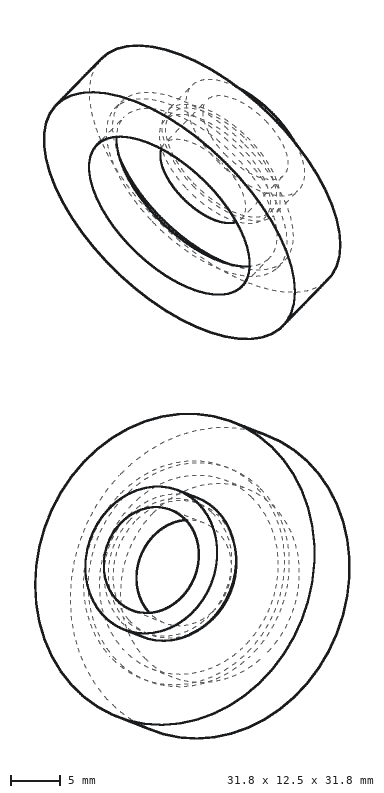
import cadquery as cq

flange_diameter = 31.75
flange_thickness = 7.5
neck_diameter = 14.03
neck_length = 1.02
boss_diameter = 15.0
overall_length = 12.5
boss_length = overall_length - flange_thickness - neck_length
bore_diameter = 10.8
recess_diameter = 20.32
recess_wall_length = 4.5
groove_width = neck_length
groove_depth = 1.27
groove_diameter = recess_diameter + 2 * groove_depth


def cylinder_along_y(diameter, start, length):
    """Solid cylinder on the Y axis, running towards +Y from the start position."""
    plane = cq.Plane(origin=(0, start, 0), xDir=(1, 0, 0), normal=(0, 1, 0))
    return cq.Workplane(plane).circle(diameter / 2).extrude(length)


flange = cylinder_along_y(flange_diameter, 0, flange_thickness)
neck = cylinder_along_y(neck_diameter, flange_thickness, neck_length)
boss = cylinder_along_y(boss_diameter, flange_thickness + neck_length, boss_length)
body = flange.union(neck).union(boss)

bore = cylinder_along_y(bore_diameter, 0, overall_length)
recess = cylinder_along_y(recess_diameter, 0, recess_wall_length)
groove = cylinder_along_y(groove_diameter, recess_wall_length, groove_width)

result = body.cut(bore).cut(recess).cut(groove)